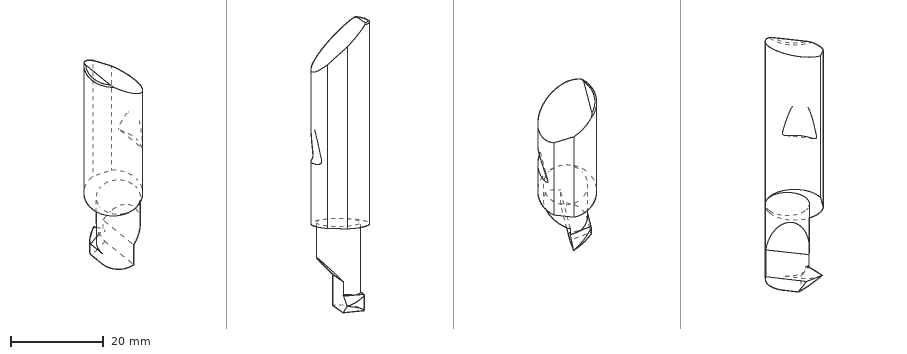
import math

import cadquery as cq

total_length = 63.5
shank_diameter = 12.7
neck_diameter = 9.525
neck_length = 19.05

shank_radius = shank_diameter / 2
neck_radius = neck_diameter / 2
neck_center_x = shank_radius - neck_radius

bevel_start_y = -4.55
rim_width = 0.4
rim_height = 0.27
side_flat_angle = 20
notch_depth = 1.4
notch_bottom_z = 32.7
notch_top_z = 41.6
notch_corner_radius = 0.9

rake_y = 0.05
runout_start_z = 11.55
tip_x = -6.12
tip_z = 2.02
flank_angle = 30
flank_relief_angle = 6
tip_top_z = 3.75
undercut_x = -2.55
undercut_angle = 30
heel_x = -2.39
end_relief_bulge = 0.3
bottom_corner_x = -2.66
bottom_tilt_along_x = 0.5
bottom_tilt_along_y = 1.2

clearance = 5


def make_shank():
    shank = cq.Workplane("XY").workplane(offset=neck_length)
    shank = shank.circle(shank_radius).extrude(total_length - neck_length)
    return shank.faces(">Z").chamfer(rim_height, rim_width)


def cut_end_bevel(body):
    far = 2 * shank_diameter
    bevel = (
        cq.Workplane("YZ")
        .moveTo(bevel_start_y, total_length)
        .lineTo(bevel_start_y + far, total_length - far)
        .lineTo(bevel_start_y + far, total_length)
        .close()
        .extrude(shank_diameter, both=True)
    )
    return body.cut(bevel)


def cut_side_flat(body):
    """Plane along Z that starts at the -X quadrant and leans towards +X as Y grows."""
    flat = (
        cq.Workplane("XY")
        .box(shank_diameter, 2 * shank_diameter, total_length, centered=(True, True, False))
        .translate((-shank_diameter / 2, 0, 0))
        .rotate((0, 0, 0), (0, 0, 1), -side_flat_angle)
        .translate((-shank_radius, 0, neck_length))
    )
    return body.cut(flat)


def cut_clamp_notch(body):
    """Ramped notch across the +Y side with a rounded inner corner."""
    floor_y = shank_radius - notch_depth
    notch = (
        cq.Workplane("YZ")
        .moveTo(shank_radius, notch_top_z)
        .lineTo(floor_y, notch_bottom_z)
        .lineTo(shank_radius + clearance, notch_bottom_z)
        .lineTo(shank_radius + clearance, notch_top_z)
        .close()
        .extrude(shank_diameter, both=True)
    )
    notch = notch.edges("|X and <Y").fillet(notch_corner_radius)
    return body.cut(notch)


def make_neck():
    neck = (
        cq.Workplane("XY", origin=(neck_center_x, 0, 0))
        .circle(neck_radius)
        .extrude(neck_length)
    )
    runout = (
        cq.Workplane("YZ")
        .moveTo(rake_y, -clearance)
        .lineTo(rake_y, runout_start_z + rake_y - neck_radius)
        .lineTo(neck_diameter, runout_start_z + neck_radius)
        .lineTo(neck_diameter, -clearance)
        .close()
        .extrude(shank_diameter, both=True)
    )
    return neck.cut(runout)


def cut_tip_undercut(neck):
    """Clear the -X half of the neck for the tip, leaving a sloping roof above the tip root."""
    roof_rise = clearance * math.tan(math.radians(undercut_angle))
    undercut = (
        cq.Workplane("XZ")
        .moveTo(undercut_x, tip_top_z)
        .lineTo(undercut_x - clearance, tip_top_z + roof_rise)
        .lineTo(undercut_x - clearance, -clearance)
        .lineTo(neck_center_x, -clearance)
        .lineTo(neck_center_x, tip_top_z)
        .close()
        .extrude(shank_diameter, both=True)
    )
    return neck.cut(undercut)


def make_tip():
    """Pointed tooth whose rake face is the plane Y = rake_y."""
    mid_x = (tip_x + heel_x) / 2
    mid_y = (rake_y - neck_radius) / 2
    chord_x = heel_x - tip_x
    chord_y = rake_y + neck_radius
    chord = math.hypot(chord_x, chord_y)
    bow_point = (
        mid_x - end_relief_bulge * chord_y / chord,
        mid_y - end_relief_bulge * chord_x / chord,
    )
    block = (
        cq.Workplane("XY")
        .moveTo(tip_x, rake_y)
        .threePointArc(bow_point, (heel_x, -neck_radius))
        .lineTo(neck_center_x, -neck_radius)
        .lineTo(neck_center_x, rake_y)
        .close()
        .extrude(tip_top_z)
    )
    wedge_length = 2 * shank_diameter
    wedge_half_height = wedge_length * math.tan(math.radians(flank_angle))
    wedge = (
        cq.Workplane("XZ", origin=(0, rake_y, 0))
        .moveTo(tip_x, tip_z)
        .lineTo(tip_x + wedge_length, tip_z + wedge_half_height)
        .lineTo(tip_x + wedge_length, tip_z - wedge_half_height)
        .close()
        .extrude(neck_diameter, taper=flank_relief_angle)
    )
    return block.intersect(wedge)


def cut_bottom_relief(body):
    """Trim the lower end with a plane that rises away from the corner below the tip."""
    size = 4 * shank_diameter
    relief = (
        cq.Workplane("XY")
        .box(size, size, clearance, centered=(True, True, False))
        .translate((0, 0, -clearance))
        .rotate((0, 0, 0), (0, 1, 0), -bottom_tilt_along_x)
        .rotate((0, 0, 0), (1, 0, 0), -bottom_tilt_along_y)
        .translate((bottom_corner_x, rake_y, 0))
    )
    return body.cut(relief)


shank = make_shank()
shank = cut_end_bevel(shank)
shank = cut_side_flat(shank)
shank = cut_clamp_notch(shank)

neck = cut_tip_undercut(make_neck())
cutting_end = cut_bottom_relief(neck.union(make_tip()))

result = shank.union(cutting_end)